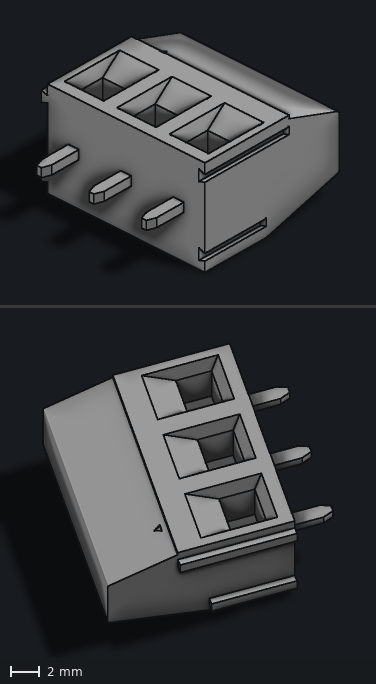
import cadquery as cq

pole_count = 3
pitch = 5.0
body_width = 15.0
body_depth = 13.6
body_height = 9.0

shoulder_depth = 8.52
shoulder_step = 0.29
roof_drop = 2.0
underside_depth = 6.22
underside_rise = 1.98
back_radius = 0.2

pin_width = 1.01
pin_thickness = 0.82
pin_length = 3.5
pin_tip_length = 0.77
pin_tip_width = 0.45
pin_z = body_height / 2

mouth_width = 3.71
mouth_front = 1.06
mouth_back = 6.62
well_width = 2.6
well_front = 1.71
well_back = well_front + well_width
funnel_depth = 0.95
well_depth = 3.42

dovetail_depth = 0.58
dovetail_outer = 1.03
dovetail_root = 0.63
dovetail_inset = 1.27
upper_dovetail_length = shoulder_depth
lower_dovetail_length = underside_depth

marker_width = 0.5
marker_length = 0.5
marker_front = 8.95
marker_recess = 0.1

pole_positions = [(i - (pole_count - 1) / 2) * pitch for i in range(pole_count)]
dovetails = [
    (body_height - dovetail_inset, upper_dovetail_length),
    (dovetail_inset, lower_dovetail_length),
]
roof_front_z = body_height - shoulder_step
roof_back_z = body_height - roof_drop


def make_housing():
    profile = [
        (0, 0),
        (underside_depth, 0),
        (body_depth, underside_rise),
        (body_depth, roof_back_z),
        (shoulder_depth, roof_front_z),
        (shoulder_depth, body_height),
        (0, body_height),
    ]
    housing = cq.Workplane("YZ").polyline(profile).close().extrude(body_width / 2, both=True)
    back_edges = housing.faces(">Y").edges("|X")
    return back_edges.fillet(back_radius)


def make_dovetail(root_x, z, length):
    """Dovetail bar running back from the mating face, widening towards -X."""
    outer_x = root_x - dovetail_depth
    section = [
        (root_x, z - dovetail_root / 2),
        (root_x, z + dovetail_root / 2),
        (outer_x, z + dovetail_outer / 2),
        (outer_x, z - dovetail_outer / 2),
    ]
    return cq.Workplane("XZ").polyline(section).close().extrude(-length)


def make_pin(x):
    half = pin_width / 2
    half_tip = pin_tip_width / 2
    taper_y = pin_tip_length - pin_length
    outline = [
        (x - half, 0),
        (x + half, 0),
        (x + half, taper_y),
        (x + half_tip, -pin_length),
        (x - half_tip, -pin_length),
        (x - half, taper_y),
    ]
    pin_plane = cq.Workplane("XY").workplane(offset=pin_z)
    return pin_plane.polyline(outline).close().extrude(pin_thickness / 2, both=True)


def make_opening(x):
    mouth_y = (mouth_front + mouth_back) / 2
    well_y = (well_front + well_back) / 2
    funnel_floor_z = body_height - funnel_depth
    funnel = (
        cq.Workplane("XY", origin=(x, mouth_y, body_height))
        .rect(mouth_width, mouth_back - mouth_front)
        .workplane(offset=-funnel_depth)
        .center(0, well_y - mouth_y)
        .rect(well_width, well_back - well_front)
        .loft(ruled=True)
    )
    well = (
        cq.Workplane("XY", origin=(x, well_y, funnel_floor_z))
        .rect(well_width, well_back - well_front)
        .extrude(-well_depth)
    )
    return funnel.union(well)


def make_marker(x):
    """Triangular recess in the sloping roof, pointing towards the back."""
    triangle = [
        (x - marker_width / 2, marker_front),
        (x + marker_width / 2, marker_front),
        (x, marker_front + marker_length),
    ]
    prism = cq.Workplane("XY").polyline(triangle).close().extrude(body_height)
    roof_layer = (
        cq.Workplane("YZ")
        .moveTo(shoulder_depth, roof_front_z)
        .lineTo(body_depth, roof_back_z)
        .lineTo(body_depth, roof_back_z - marker_recess)
        .lineTo(shoulder_depth, roof_front_z - marker_recess)
        .close()
        .extrude(body_width / 2, both=True)
    )
    return prism.intersect(roof_layer)


result = make_housing()
for dovetail_z, dovetail_length in dovetails:
    result = result.union(make_dovetail(-body_width / 2, dovetail_z, dovetail_length))
    result = result.cut(make_dovetail(body_width / 2, dovetail_z, dovetail_length))
for pole_x in pole_positions:
    result = result.cut(make_opening(pole_x))
    result = result.union(make_pin(pole_x))
result = result.cut(make_marker(pole_positions[0]))